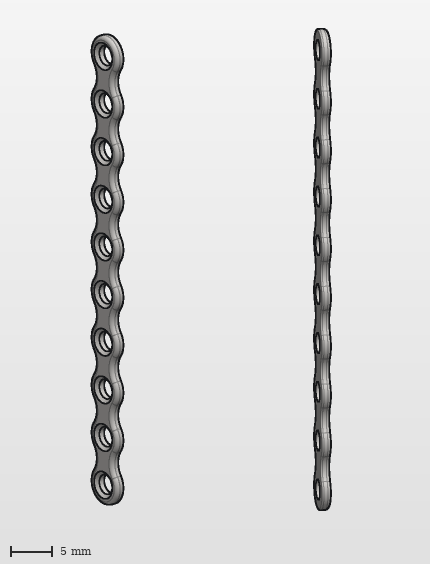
import cadquery as cq
import math

length = 59.0
width = 5.0
thickness = 1.2
hole_count = 10
hole_diameter = 2.4
countersink_diameter = 3.35
countersink_depth = 0.4
neck_width = 3.05
front_fillet = 0.5
back_fillet = 0.2

eye_radius = width / 2
neck_half = neck_width / 2
pitch = (length - width) / (hole_count - 1)
first_hole_z = -(length - width) / 2
hole_centres = [first_hole_z + i * pitch for i in range(hole_count)]

half_pitch = pitch / 2
neck_radius = (neck_half**2 + half_pitch**2 - eye_radius**2) / (2 * (eye_radius - neck_half))
tangent_angle = math.atan2(half_pitch, neck_half + neck_radius)
tangent_x = eye_radius * math.cos(tangent_angle)
tangent_z = eye_radius * math.sin(tangent_angle)


def side_arcs(outline, centres, side, direction):
    """Run along one edge of the strip: side is the sign of X, direction the sign of travel in Z."""
    for here, following in zip(centres, centres[1:]):
        neck_z = (here + following) / 2
        outline = outline.threePointArc(
            (side * neck_half, neck_z), (side * tangent_x, following - direction * tangent_z)
        )
        if following != centres[-1]:
            outline = outline.threePointArc(
                (side * eye_radius, following), (side * tangent_x, following + direction * tangent_z)
            )
    return outline


def make_strip():
    """Chain of round eyes joined by necks, rounded more on its front (-Y) than on its back (+Y)."""
    bottom = hole_centres[0]
    top = hole_centres[-1]
    outline = cq.Workplane("XZ", origin=(0, thickness / 2, 0)).moveTo(tangent_x, bottom + tangent_z)
    outline = side_arcs(outline, hole_centres, 1, 1)
    outline = outline.threePointArc((0, top + eye_radius), (-tangent_x, top - tangent_z))
    outline = side_arcs(outline, hole_centres[::-1], -1, -1)
    outline = outline.threePointArc((0, bottom - eye_radius), (tangent_x, bottom + tangent_z))
    strip = outline.close().extrude(thickness)
    strip = strip.faces("<Y").edges().fillet(front_fillet)
    return strip.faces(">Y").edges().fillet(back_fillet)


def make_hole():
    """Tool for one through hole along Y, centred on Z = 0, widening to its countersink at the front."""
    front_y = -thickness / 2
    back_y = thickness / 2
    hole_radius = hole_diameter / 2
    profile = (
        cq.Workplane("XY")
        .moveTo(0, front_y)
        .lineTo(countersink_diameter / 2, front_y)
        .lineTo(hole_radius, front_y + countersink_depth)
        .lineTo(hole_radius, back_y)
        .lineTo(0, back_y)
        .close()
    )
    return profile.revolve(360, (0, 0, 0), (0, 1, 0))


result = make_strip()
hole = make_hole()
for centre_z in hole_centres:
    result = result.cut(hole.translate((0, 0, centre_z)))